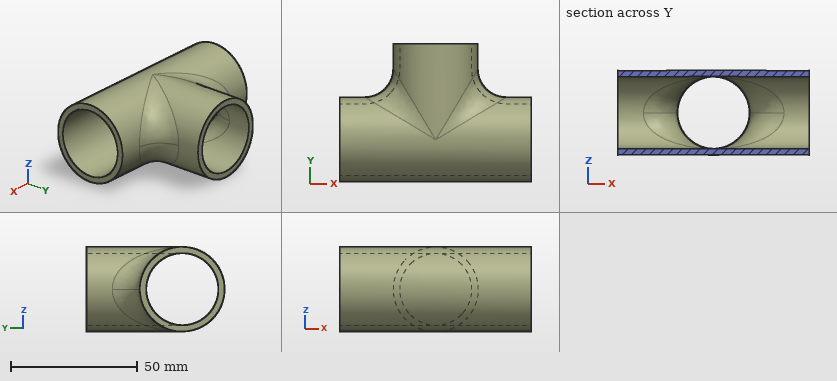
import cadquery as cq

run_length = 76.0
outer_diameter = 33.7
bore_diameter = 28.5
branch_reach = 38.04
outer_crotch_radius = 11.0

wall = (outer_diameter - bore_diameter) / 2
inner_crotch_radius = outer_crotch_radius + wall


def blended_tee(diameter, crotch_radius):
    """Solid tee of two equal cylinders, with the crotch between run and branch rounded."""
    run = cq.Workplane("YZ").circle(diameter / 2).extrude(run_length / 2, both=True)
    branch = cq.Workplane("XZ").circle(diameter / 2).extrude(-branch_reach)
    return run.union(branch).edges("%ELLIPSE").fillet(crotch_radius)


outside = blended_tee(outer_diameter, outer_crotch_radius)
passage = blended_tee(bore_diameter, inner_crotch_radius)
result = outside.cut(passage)